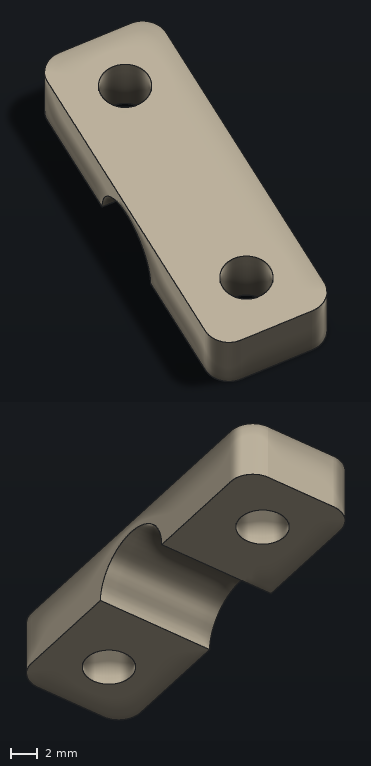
import cadquery as cq

length = 30.0
width = length / 3
height = 4.95
corner_radius = width / 5

hole_diameter = 4.0
hole_spacing = 2 * width

rod_radius = 4.0
rod_axis_drop = 0.05


def make_bar():
    bar = cq.Workplane("XY").box(length, width, height, centered=(True, True, False))
    return bar.edges("|Z").fillet(corner_radius)


def make_screw_holes():
    return (
        cq.Workplane("XY")
        .rarray(hole_spacing, 0.3, 2, 1)
        .circle(hole_diameter / 2)
        .extrude(height)
    )


def make_rod():
    return (
        cq.Workplane("XZ")
        .center(0, -rod_axis_drop)
        .circle(rod_radius)
        .extrude(width / 2, both=True)
    )


result = make_bar().cut(make_screw_holes()).cut(make_rod())